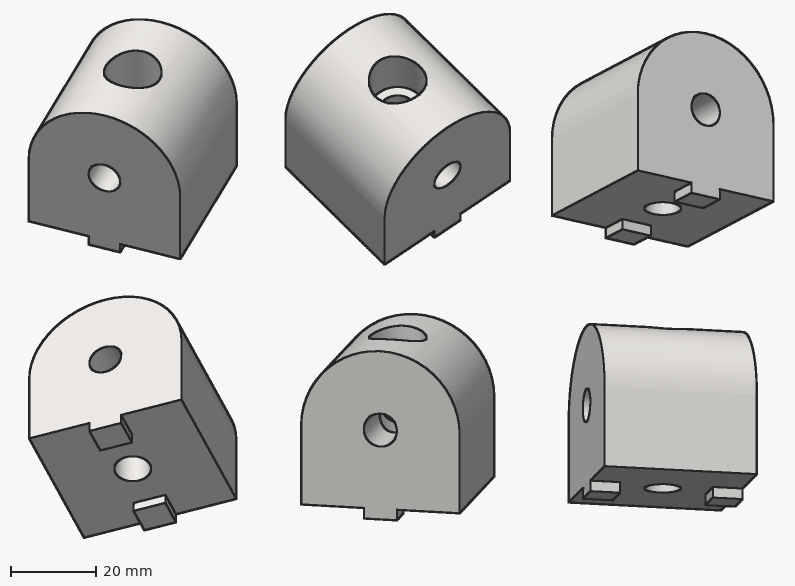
import cadquery as cq

width = 38.1
length = 36.58
axis_height = 19.05

cross_bore_diameter = 7.94
screw_hole_diameter = 8.6
counterbore_diameter = 13.5
counterbore_depth = 12.7

key_width = cross_bore_diameter
key_height = 2.54
key_length = 7.17

top_radius = width / 2
block_height = axis_height + top_radius


def make_block():
    """Block with a flat underside at Z = 0 and a half-round top, centred on X and Y."""
    half_width = width / 2
    return (
        cq.Workplane("XZ")
        .moveTo(-half_width, 0)
        .lineTo(half_width, 0)
        .lineTo(half_width, axis_height)
        .threePointArc((0, block_height), (-half_width, axis_height))
        .close()
        .extrude(length / 2, both=True)
    )


def make_keys():
    """Two locating keys below the block, flush with its end faces."""
    key_offset = (length - key_length) / 2
    return (
        cq.Workplane("XY")
        .pushPoints([(0, -key_offset), (0, key_offset)])
        .rect(key_width, key_length)
        .extrude(-key_height)
    )


def make_cross_bore():
    """Through bore along Y, concentric with the rounded top."""
    return (
        cq.Workplane("XZ")
        .center(0, axis_height)
        .circle(cross_bore_diameter / 2)
        .extrude(length / 2, both=True)
    )


def make_screw_hole():
    """Vertical through hole with a counterbore sunk from the crest."""
    through_hole = cq.Workplane("XY").circle(screw_hole_diameter / 2).extrude(block_height)
    counterbore = (
        cq.Workplane("XY")
        .workplane(offset=block_height)
        .circle(counterbore_diameter / 2)
        .extrude(-counterbore_depth)
    )
    return through_hole.union(counterbore)


result = make_block().union(make_keys()).cut(make_cross_bore()).cut(make_screw_hole())